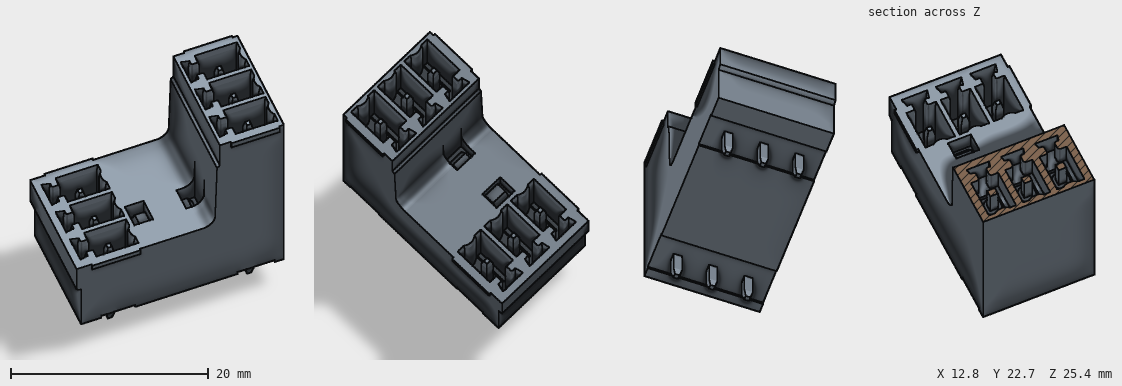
import cadquery as cq
import math


housing_width = 12.42
housing_depth = 22.7
upper_top = 21.95
lower_top = 9.25
tower_depth = 7.02
tower_step = 0.3
tower_step_top = 18.69
tower_step_bottom = 18.36
tower_draft = math.radians(1.55)
inner_corner_radius = 1.36
overhang = 0.5
overhang_start = 5.65
overhang_end = 5.94


def tower_face_y(z):
    """Y of the drafted tower face at height z."""
    return -tower_depth - tower_step - (tower_step_bottom - z) * math.tan(tower_draft)


underside_recesses = [(1.0, 5.08), (16.27, 19.97)]
underside_recess_height = 0.3

pole_pitch = 3.81
pole_positions = [-pole_pitch, 0, pole_pitch]
row_pitch = 15.24
upper_row_y = -2.93
lower_row_y = upper_row_y - row_pitch
rows = [(upper_row_y, upper_top), (lower_row_y, lower_top)]

rib_thickness = 0.2
rib_length = 5.3
rib_rear_offset = 2.41
upper_rib_height = 0.7
lower_rib_height = 0.62

cavity_half_width = 1.65
cavity_rear = 2.56
cavity_front = -2.05
bulge_half_width = 0.76
bulge_height = 0.28
neck_half_width = 0.72
neck_end = -2.81
neck_corner_radius = 0.15
tail_half_width_rear = 1.22
tail_half_width_front = 1.42
tail_front = -3.69
lead_in_width = 0.16
lead_in_depth = 0.7
cavity_depth = 7.0
floor_recess_half_width = 1.02
floor_recess_front = -1.36
floor_recess_depth = 0.5
boss_radius = 0.97
boss_height = 0.25

pin_width = 0.9
pin_thickness = 0.8
pin_tip_width = 0.5
pin_tip_thickness = 0.45
pin_tip_length = 0.87
pin_tail = 3.4
pin_top_gap = 1.1

slot_x = 1.9
slot_width = 2.56
slot_depth = 2.1
key_width = 1.78
key_top_depth = 1.33
upper_slot_top = 12.94
upper_slot_rear = tower_face_y(upper_slot_top)
upper_slot_front = -9.47
upper_ramp_rear = -7.92
upper_ramp_front = -8.46
lower_slot_rear = -13.08
lower_slot_front = -15.13
lower_ramp_rear = -14.2
lower_ramp_front = -14.85


def extrude_across_x(points, width, x_center=0):
    """Prism with a (Y, Z) outline, centred on x_center."""
    outline = cq.Workplane("YZ", origin=(x_center, 0, 0)).polyline(points).close()
    return outline.extrude(width / 2, both=True)


def box_between(x_center, width, y_front, y_rear, z_bottom, z_top):
    """Box centred on x_center, given by its Y and Z limits."""
    size = (width, y_rear - y_front, z_top - z_bottom)
    center = (x_center, (y_front + y_rear) / 2, (z_bottom + z_top) / 2)
    return cq.Workplane("XY").box(*size).translate(center)


def make_housing():
    """L-shaped body with the drafted tower face, the front lip and the underside recesses."""
    tower_foot = tower_face_y(lower_top)
    body = extrude_across_x(
        [
            (0, 0),
            (0, upper_top),
            (-tower_depth, upper_top),
            (-tower_depth, tower_step_top),
            (-tower_depth - tower_step, tower_step_bottom),
            (tower_foot, lower_top),
            (-housing_depth, lower_top),
            (-housing_depth, overhang_end),
            (-housing_depth + overhang, overhang_start),
            (-housing_depth + overhang, 0),
        ],
        housing_width,
    )
    foot_edge = cq.selectors.NearestToPointSelector((0, tower_foot, lower_top))
    body = body.edges(foot_edge).fillet(inner_corner_radius)
    for start, end in underside_recesses:
        body = body.cut(box_between(0, housing_width, -end, -start, 0, underside_recess_height))
    return body


def make_rib(row_y, tier_top, height):
    """Both side ribs of one tier as a single bar through the housing."""
    rear = row_y + rib_rear_offset
    width = housing_width + 2 * rib_thickness
    return box_between(0, width, rear - rib_length, rear, tier_top - height, tier_top)


def cavity_outline():
    """Closed opening of one plug cavity, centred on the pin axis."""
    right_side = [
        (cavity_half_width, cavity_rear),
        (cavity_half_width, cavity_front),
        (neck_half_width, cavity_front),
        (neck_half_width, neck_end),
        (tail_half_width_rear, neck_end),
        (tail_half_width_front, tail_front),
    ]
    left_side = [(-x, y) for x, y in reversed(right_side)]
    outline = (
        cq.Workplane("XY")
        .moveTo(-bulge_half_width, cavity_rear)
        .threePointArc((0, cavity_rear - bulge_height), (bulge_half_width, cavity_rear))
    )
    for x, y in right_side + left_side:
        outline = outline.lineTo(x, y)
    return outline.close()


def make_cavity():
    """Cutting body of one plug cavity with its mouth on Z = 0."""
    draft = math.degrees(math.atan(lead_in_width / lead_in_depth))
    block = cavity_outline().extrude(-cavity_depth)
    r = neck_corner_radius
    neck_corners = cq.selectors.BoxSelector(
        (-neck_half_width - r, neck_end - r, -cavity_depth),
        (neck_half_width + r, cavity_front + r, 0),
    )
    opening = block.edges("|Z").edges(neck_corners).fillet(r).faces(">Z").wires()
    mouth = opening.toPending().extrude(-lead_in_depth, taper=draft, combine=False)
    shaft_wire = mouth.faces("<Z").wires()
    shaft = shaft_wire.toPending().workplane().extrude(cavity_depth - lead_in_depth, combine=False)
    return mouth.union(shaft)


def make_floor_recess(cavity):
    """Stepped recess below the cavity floor, leaving a round boss around the pin."""
    bottom = -cavity_depth - floor_recess_depth
    width = 2 * floor_recess_half_width
    recess = box_between(0, width, floor_recess_front, cavity_rear, bottom, -cavity_depth)
    recess = recess.intersect(cavity.translate((0, 0, -floor_recess_depth)))
    boss = cq.Workplane("XY").workplane(offset=bottom).circle(boss_radius).extrude(boss_height)
    return recess.cut(boss)


def make_pin(tier_top):
    """Straight rectangular pin on the Z axis with a tapered tip at each end."""
    shank_top = tier_top - pin_top_gap - pin_tip_length
    shank_bottom = -pin_tail + pin_tip_length
    pin = box_between(0, pin_width, -pin_thickness / 2, pin_thickness / 2, shank_bottom, shank_top)
    for start, direction in [(shank_top, 1), (shank_bottom, -1)]:
        tip = (
            cq.Workplane("XY", origin=(0, 0, start))
            .rect(pin_width, pin_thickness)
            .workplane(offset=direction * pin_tip_length)
            .rect(pin_tip_width, pin_tip_thickness)
            .loft(ruled=True)
        )
        pin = pin.union(tip)
    return pin


def make_slots():
    """Two coding slots, each with a ramped key standing on its floor against the open side."""
    floor = lower_top - slot_depth
    key_top = lower_top - key_top_depth
    upper_slot = box_between(slot_x, slot_width, upper_slot_front, upper_slot_rear, floor, upper_slot_top)
    upper_key = extrude_across_x(
        [
            (upper_ramp_rear, floor),
            (upper_ramp_front, key_top),
            (upper_slot_front, key_top),
            (upper_slot_front, floor),
        ],
        key_width,
        slot_x,
    )
    lower_slot = box_between(slot_x, slot_width, lower_slot_front, lower_slot_rear, floor, lower_top)
    lower_key = extrude_across_x(
        [
            (lower_ramp_front, floor),
            (lower_ramp_rear, key_top),
            (lower_slot_rear, key_top),
            (lower_slot_rear, floor),
        ],
        key_width,
        slot_x,
    )
    return upper_slot.cut(upper_key).union(lower_slot.cut(lower_key))


result = make_housing()
result = result.union(make_rib(upper_row_y, upper_top, upper_rib_height))
result = result.union(make_rib(lower_row_y, lower_top, lower_rib_height))
result = result.cut(make_slots())

cavity = make_cavity()
floor_recess = make_floor_recess(cavity)
for row_y, tier_top in rows:
    pin = make_pin(tier_top)
    for pole_x in pole_positions:
        mouth_position = (pole_x, row_y, tier_top)
        result = result.cut(cavity.translate(mouth_position))
        result = result.cut(floor_recess.translate(mouth_position))
        result = result.union(pin.translate((pole_x, row_y, 0)))